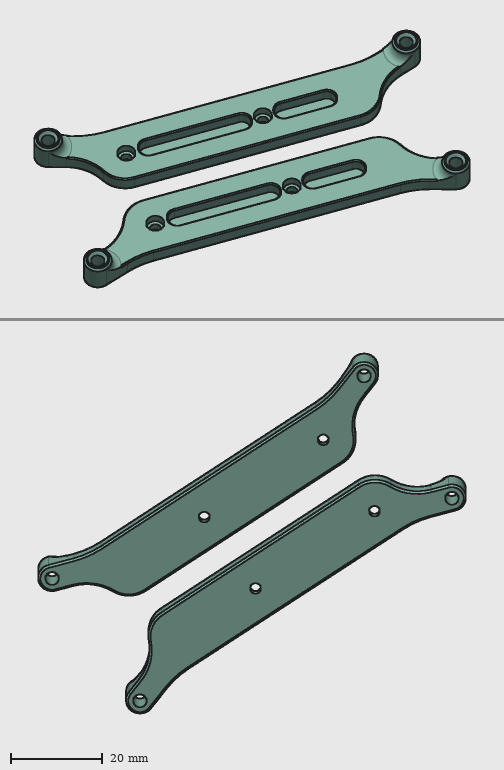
import cadquery as cq
import math


length = 88.6
width = 40.1
boss_height = 7.0
plate_height = 4.0

boss_diameter = 6.1
boss_radius = boss_diameter / 2
boss_x = (width - boss_diameter) / 2
boss_y = (length - boss_diameter) / 2
boss_hole_diameter = 2.9
countersink_diameter = 4.4

outer_edge_x = boss_x
inner_edge_x = 3.0
arm_angle = math.radians(18.7)
outer_blend_radius = 20.0
arm_inner_straight = 3.9
neck_radius = 11.0
corner_radius = 6.5

bottom_chamfer = 0.5
boss_chamfer = 0.5
top_chamfer = 0.3

flare_radius = 2.0

hole_line_x = 9.9
hole_diameter = 2.4
counterbore_diameter = 4.0
counterbore_depth = 2.0
hole_positions_y = [5.85, -25.6]
slot_width = 4.1
slot_depth = 3.0
slot_ends_y = [(8.6, 22.6), (-22.6, 3.0)]


def polar(center, radius, angle):
    """Point on a circle, with the angle in radians from +X."""
    return (center[0] + radius * math.cos(angle), center[1] + radius * math.sin(angle))


def half_outline():
    """Outline of the left plate for Y >= 0, all its arcs tangent to their neighbours."""
    boss = (-boss_x, boss_y)
    outer_tangent = polar(boss, boss_radius, math.pi + arm_angle)
    inner_tangent = polar(boss, boss_radius, arm_angle)

    corner_y = boss_y - boss_radius / math.sin(arm_angle)
    blend_length = outer_blend_radius * math.tan(arm_angle / 2)
    blend_center = (-outer_edge_x - outer_blend_radius, corner_y - blend_length)

    neck_start = polar(inner_tangent, arm_inner_straight, arm_angle - math.pi / 2)
    neck_center = polar(neck_start, neck_radius, arm_angle)
    corner_x = -inner_edge_x - corner_radius
    center_distance = neck_radius + corner_radius
    center_drop = math.sqrt(center_distance**2 - (neck_center[0] - corner_x) ** 2)
    corner_center = (corner_x, neck_center[1] - center_drop)
    touch_angle = math.atan2(center_drop, neck_center[0] - corner_x)
    neck_middle_angle = math.pi + (arm_angle + touch_angle) / 2

    return (
        cq.Workplane("XY")
        .moveTo(-outer_edge_x, 0)
        .lineTo(-outer_edge_x, blend_center[1])
        .threePointArc(
            polar(blend_center, outer_blend_radius, arm_angle / 2),
            polar(blend_center, outer_blend_radius, arm_angle),
        )
        .lineTo(*outer_tangent)
        .threePointArc(polar(boss, boss_radius, arm_angle + math.pi / 2), inner_tangent)
        .lineTo(*neck_start)
        .threePointArc(
            polar(neck_center, neck_radius, neck_middle_angle),
            polar(corner_center, corner_radius, touch_angle),
        )
        .threePointArc(
            polar(corner_center, corner_radius, touch_angle / 2),
            (-inner_edge_x, corner_center[1]),
        )
        .lineTo(-inner_edge_x, 0)
        .close()
    )


def blank(height):
    """Full plate outline raised to a height, symmetric about Y = 0."""
    half = half_outline().extrude(height)
    return half.union(half.mirror("XZ")).clean()


def flared_boss():
    """Boss at the +Y end: chamfered top and a concave flare to the plate, trimmed to the arm's sides."""
    flare_edge = boss_radius + flare_radius
    flare_top = plate_height + flare_radius
    flare_middle = (
        -flare_edge + flare_radius * math.cos(math.pi / 4),
        flare_top - flare_radius * math.sin(math.pi / 4),
    )
    round_boss = (
        cq.Workplane("XZ")
        .lineTo(-flare_edge, 0)
        .lineTo(-flare_edge, plate_height)
        .threePointArc(flare_middle, (-boss_radius, flare_top))
        .lineTo(-boss_radius, boss_height - boss_chamfer)
        .lineTo(-boss_radius + boss_chamfer, boss_height)
        .lineTo(0, boss_height)
        .close()
        .revolve(360, (0, 0), (0, 1))
    )
    return round_boss.translate((-boss_x, boss_y, 0)).intersect(blank(boss_height))


def boss_hole_cutter():
    """Through hole with a 45 degree countersink in the boss top, centred on the Z axis."""
    hole_radius = boss_hole_diameter / 2
    countersink_radius = countersink_diameter / 2
    return (
        cq.Workplane("XZ")
        .lineTo(hole_radius, 0)
        .lineTo(hole_radius, boss_height - (countersink_radius - hole_radius))
        .lineTo(countersink_radius, boss_height)
        .lineTo(0, boss_height)
        .close()
        .revolve(360, (0, 0), (0, 1))
    )


def slot_cutter(end_low, end_high):
    """Round-ended slot pocket with a chamfered rim."""
    floor_z = plate_height - slot_depth
    middle_y = (end_low + end_high) / 2
    slot_length = end_high - end_low
    pocket = (
        cq.Workplane("XY", origin=(-hole_line_x, middle_y, floor_z))
        .slot2D(slot_length, slot_width, 90)
        .extrude(slot_depth)
    )
    rim = (
        cq.Workplane("XY", origin=(-hole_line_x, middle_y, plate_height))
        .slot2D(slot_length + 2 * top_chamfer, slot_width + 2 * top_chamfer, 90)
        .extrude(-top_chamfer, taper=45)
    )
    return pocket.union(rim)


def left_rail():
    rail = blank(plate_height).faces(">Z").edges().chamfer(top_chamfer)

    boss = flared_boss()
    rail = rail.union(boss).union(boss.mirror("XZ"))
    rail = rail.faces("<Z").edges().chamfer(bottom_chamfer)

    for y in (boss_y, -boss_y):
        rail = rail.cut(boss_hole_cutter().translate((-boss_x, y, 0)))

    rail = (
        rail.copyWorkplane(cq.Workplane("XY", origin=(0, 0, plate_height)))
        .pushPoints([(-hole_line_x, y) for y in hole_positions_y])
        .cboreHole(hole_diameter, counterbore_diameter, counterbore_depth)
    )

    for end_low, end_high in slot_ends_y:
        rail = rail.cut(slot_cutter(end_low, end_high))
    return rail


left = left_rail().solids()
right = left.mirror("YZ").solids()

result = cq.Compound.makeCompound([left.val(), right.val()])